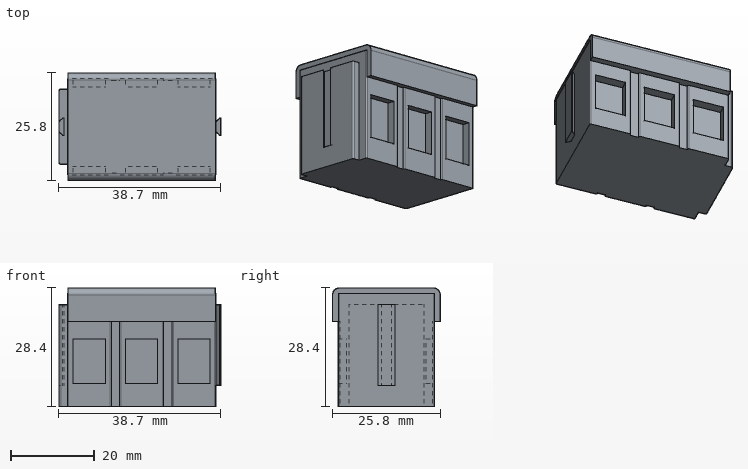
import cadquery as cq

TOTAL_LENGTH = 38.67
TOTAL_WIDTH = 25.8
TOTAL_HEIGHT = 28.4

PLATE_THICKNESS = 2.0
PLATE_WIDTH = 18.0
PLATE_HEIGHT = 24.4
PLATE_EDGE_RADIUS = 0.45
RAIL_DEPTH = 1.15
RAIL_NECK_WIDTH = 2.4
RAIL_HEAD_WIDTH = 4.1
RAIL_HEAD_THICKNESS = 0.27
RAIL_BOTTOM = 5.05

CAP_WALL = 1.35
CAP_SKIRT_HEIGHT = 8.05
CAP_EDGE_RADIUS = 1.7
CAP_END_INSET = 0.1

POLE_COUNT = 3
GROOVE_WIDTH = 2.0
GROOVE_DEPTH = 0.45
POLE_EDGE_RADIUS = 0.3
BODY_LENGTH = TOTAL_LENGTH - PLATE_THICKNESS - RAIL_DEPTH
BODY_WIDTH = TOTAL_WIDTH - 2 * CAP_WALL
BODY_HEIGHT = TOTAL_HEIGHT - CAP_WALL
POLE_LENGTH = (BODY_LENGTH - (POLE_COUNT - 1) * GROOVE_WIDTH) / POLE_COUNT
POLE_PITCH = POLE_LENGTH + GROOVE_WIDTH
POLE_CENTERS = [(i - (POLE_COUNT - 1) / 2) * POLE_PITCH for i in range(POLE_COUNT)]

WINDOW_LENGTH = 7.7
WINDOW_BOTTOM = 5.5
WINDOW_HEIGHT = 10.65
WINDOW_DEPTH = 2.05

LEFT_FACE = -BODY_LENGTH / 2
RIGHT_FACE = BODY_LENGTH / 2


def block(length, width, height):
    """Box centred in X and Y that stands on Z = 0."""
    return cq.Workplane("XY").box(length, width, height, centered=(True, True, False))


def make_body():
    """Joined poles with rounded upright edges and a window in each long face."""
    core_width = BODY_WIDTH - 2 * GROOVE_DEPTH
    body = block(BODY_LENGTH - POLE_LENGTH, core_width, BODY_HEIGHT)
    pole = block(POLE_LENGTH, BODY_WIDTH, BODY_HEIGHT).edges("|Z").fillet(POLE_EDGE_RADIUS)
    for x in POLE_CENTERS:
        body = body.union(pole.translate((x, 0, 0)))
    window = block(WINDOW_LENGTH, WINDOW_DEPTH, WINDOW_HEIGHT)
    window_y = (BODY_WIDTH - WINDOW_DEPTH) / 2
    for x in POLE_CENTERS:
        for y in (-window_y, window_y):
            body = body.cut(window.translate((x, y, WINDOW_BOTTOM)))
    return body


def make_cap():
    """Block with rounded long top edges that overhangs both long faces of the body."""
    cap = block(BODY_LENGTH - 2 * CAP_END_INSET, TOTAL_WIDTH, CAP_SKIRT_HEIGHT)
    cap = cap.edges("|X and >Z").fillet(CAP_EDGE_RADIUS)
    return cap.translate((0, 0, TOTAL_HEIGHT - CAP_SKIRT_HEIGHT))


def make_plate():
    """Plate on the -X end with its two outer upright edges rounded."""
    plate = block(PLATE_THICKNESS, PLATE_WIDTH, PLATE_HEIGHT)
    plate = plate.edges("|Z and <X").fillet(PLATE_EDGE_RADIUS)
    return plate.translate((LEFT_FACE - PLATE_THICKNESS / 2, 0, 0))


def make_dovetail(neck_x):
    """Upright dovetail prism that widens toward +X from its neck at neck_x."""
    head_x = neck_x + RAIL_DEPTH
    flank_x = head_x - RAIL_HEAD_THICKNESS
    half_neck = RAIL_NECK_WIDTH / 2
    half_head = RAIL_HEAD_WIDTH / 2
    outline = [
        (neck_x, -half_neck),
        (flank_x, -half_head),
        (head_x, -half_head),
        (head_x, half_head),
        (flank_x, half_head),
        (neck_x, half_neck),
    ]
    prism = cq.Workplane("XY").polyline(outline).close().extrude(PLATE_HEIGHT - RAIL_BOTTOM)
    return prism.translate((0, 0, RAIL_BOTTOM))


rail = make_dovetail(RIGHT_FACE)
slot = make_dovetail(LEFT_FACE - PLATE_THICKNESS)

result = make_body().union(make_cap()).union(make_plate().cut(slot)).union(rail)